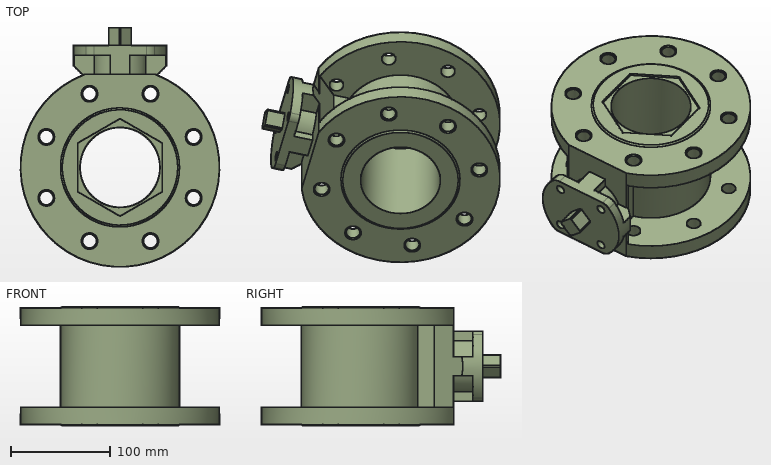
import cadquery as cq
import math

overall_length = 240.5
overall_height = 120.0
flange_radius = 100.0
flange_thickness = 17.5
body_radius = 60.0
raised_face_height = 1.5
raised_face_chamfer = 2.0
bore_diameter = 80.0

bolt_count = 8
bolt_circle_radius = 80.0
bolt_hole_diameter = 14.0
bolt_hole_chamfer = 1.2

hex_across_flats = 85.0
hex_depth = 2.5

neck_half_width = 18.3
flare_start_y = 73.8
flange_flat_y = 93.5

mount_base_y = 91.5
mount_plate_y = 112.5
mount_face_y = 122.7
mount_radius = 47.0
mount_half_height = 35.4
mount_corner_radius = 10.8
mount_boss_diameter = 55.0
mount_rib_width = 19.5
mount_hole_diameter = 9.0
mount_hole_count = 4
mount_hole_circle_radius = 35.0

stem_end_y = overall_length - flange_radius
stem_square = 17.5
stem_corner_to_corner = 22.8

half_height = overall_height / 2
flange_outer_z = half_height - raised_face_height
flange_inner_z = flange_outer_z - flange_thickness


def along_z(z):
    """Workplane facing +Z at height z."""
    return cq.Workplane("XY", origin=(0, 0, z))


def along_y(y):
    """Workplane facing +Y at distance y from the flow axis."""
    return cq.Workplane(cq.Plane(origin=(0, y, 0), xDir=(1, 0, 0), normal=(0, 1, 0)))


def flat_sided_disc(z, thickness):
    """Flange-sized disc cut off flat on the actuator side."""
    disc = along_z(z).circle(flange_radius).extrude(thickness)
    beyond_flat = along_z(z).center(0, flange_flat_y + flange_radius)
    return disc.cut(beyond_flat.rect(2 * flange_radius, 2 * flange_radius).extrude(thickness))


def flared_outline(end_y):
    """Neck outline in XY, from the flow axis out to end_y."""
    end_half_width = neck_half_width + end_y - flare_start_y
    return [
        (-neck_half_width, 0),
        (neck_half_width, 0),
        (neck_half_width, flare_start_y),
        (end_half_width, end_y),
        (-end_half_width, end_y),
        (-neck_half_width, flare_start_y),
    ]


def make_body():
    barrel = along_z(-half_height).circle(body_radius).extrude(overall_height)
    barrel = barrel.faces("<Z or >Z").chamfer(raised_face_height, raised_face_chamfer)
    upper_flange = flat_sided_disc(flange_inner_z, flange_thickness)
    lower_flange = flat_sided_disc(-flange_outer_z, flange_thickness)
    neck = along_z(-flange_inner_z).polyline(flared_outline(flange_flat_y)).close()
    neck = neck.extrude(2 * flange_inner_z)
    neck = neck.intersect(flat_sided_disc(-flange_inner_z, 2 * flange_inner_z))
    return barrel.union(upper_flange).union(lower_flange).union(neck)


def make_mount():
    depth = mount_face_y - mount_base_y
    envelope = along_y(mount_base_y).circle(mount_radius).extrude(depth)
    slab = along_y(mount_base_y).rect(2 * mount_radius, 2 * mount_half_height).extrude(depth)
    envelope = envelope.intersect(slab).edges("|Y").fillet(mount_corner_radius)

    plate = along_y(mount_plate_y).rect(2 * mount_radius, 2 * mount_radius)
    plate = plate.extrude(mount_face_y - mount_plate_y)
    boss = along_y(mount_base_y).circle(mount_boss_diameter / 2).extrude(depth)
    rib_x = along_y(mount_base_y).rect(2 * mount_radius, mount_rib_width).extrude(depth)
    rib_z = along_y(mount_base_y).rect(mount_rib_width, 2 * mount_radius).extrude(depth)
    mount = envelope.intersect(plate.union(boss).union(rib_x).union(rib_z))

    flare = along_z(-mount_radius).polyline(flared_outline(mount_face_y)).close()
    mount = mount.intersect(flare.extrude(2 * mount_radius))

    holes = (
        along_y(mount_plate_y)
        .polarArray(mount_hole_circle_radius, 180 / mount_hole_count, 360, mount_hole_count)
        .circle(mount_hole_diameter / 2)
        .extrude(mount_face_y - mount_plate_y)
    )
    return mount.cut(holes)


def make_stem():
    length = stem_end_y - mount_face_y
    square = along_y(mount_face_y).rect(stem_square, stem_square).extrude(length)
    square = square.rotate((0, 0, 0), (0, 1, 0), 45)
    corner_trim = along_y(mount_face_y).rect(stem_corner_to_corner, stem_corner_to_corner)
    return square.intersect(corner_trim.extrude(length))


def cut_bolt_holes(body):
    first_angle = 180 / bolt_count
    for side in (-1, 1):
        holes = (
            along_z(side * flange_inner_z)
            .polarArray(bolt_circle_radius, first_angle, 360, bolt_count)
            .circle(bolt_hole_diameter / 2)
            .extrude(side * flange_thickness)
        )
        mouths = (
            along_z(side * flange_outer_z)
            .polarArray(bolt_circle_radius, first_angle, 360, bolt_count)
            .circle(bolt_hole_diameter / 2 + bolt_hole_chamfer)
            .extrude(-side * bolt_hole_chamfer, taper=45)
        )
        body = body.cut(holes).cut(mouths)
    return body


def cut_bore(body):
    bore = along_z(-half_height).circle(bore_diameter / 2).extrude(overall_height)
    hex_across_corners = hex_across_flats / math.cos(math.radians(30))
    hex_recess = along_z(half_height).polygon(6, hex_across_corners).extrude(-hex_depth)
    hex_recess = hex_recess.rotate((0, 0, 0), (0, 0, 1), 90)
    return body.cut(bore).cut(hex_recess)


result = make_body().union(make_mount()).union(make_stem())
result = cut_bore(cut_bolt_holes(result))